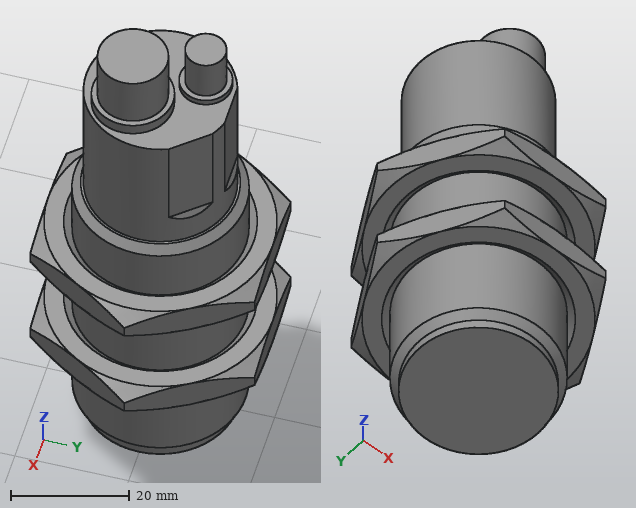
import cadquery as cq
import math

total_height = 92.5
barrel_radius = 15.0
barrel_chamfer = 1.5

nose_radius = barrel_radius - barrel_chamfer
nose_height = 2.0

shoulder_z = 56.0
housing_radius = 13.0
housing_top_z = 80.5
flat_offset = 12.4
flat_bottom_z = 62.3
flat_angles = (90.0, 40.0)
flat_runout_angle = 30.0

gland_x, gland_y = 3.7, -3.8
gland_collar_radius = 7.0
gland_collar_height = 2.1
gland_stub_radius = 6.0
gland_stub_height = total_height - housing_top_z

connector_x, connector_y = -3.3, 7.0
connector_collar_radius = 4.5
connector_collar_height = 1.1
connector_stub_radius = 3.5
connector_stub_height = 9.2

nut_across_flats = 39.4
nut_across_corners = nut_across_flats / math.cos(math.radians(30))
nut_thickness = 5.55
nut_corner_angle = 30.0
nut_countersink = 1.4
lower_nut_z = 20.0
nut_pitch = 20.0
nut_count = 2


def make_barrel():
    """Revolved barrel, nose and upper housing."""
    return (
        cq.Workplane("XZ")
        .moveTo(0, 0)
        .lineTo(nose_radius, 0)
        .lineTo(nose_radius, nose_height)
        .lineTo(barrel_radius, nose_height + barrel_chamfer)
        .lineTo(barrel_radius, shoulder_z - barrel_chamfer)
        .lineTo(barrel_radius - barrel_chamfer, shoulder_z)
        .lineTo(housing_radius, shoulder_z)
        .lineTo(housing_radius, housing_top_z)
        .lineTo(0, housing_top_z)
        .close()
        .revolve(360, (0, 0, 0), (0, 1, 0))
    )


def make_flat_cutter(angle):
    """Block that removes the housing material beyond the flat facing the given angle from +X.

    Its lower end slopes outward, so the flat runs out in a ramp.
    """
    cut_depth = housing_radius - flat_offset
    runout_height = cut_depth / math.tan(math.radians(flat_runout_angle))
    block = (
        cq.Workplane("XZ")
        .moveTo(flat_offset, housing_top_z)
        .lineTo(flat_offset, flat_bottom_z)
        .lineTo(housing_radius, flat_bottom_z - runout_height)
        .lineTo(housing_radius, housing_top_z)
        .close()
        .extrude(housing_radius, both=True)
    )
    return block.rotate((0, 0, 0), (0, 0, 1), angle)


def make_stub(x, y, collar_radius, collar_height, stub_radius, stub_height):
    """Round stub with a collar at its foot, standing on the housing top."""
    foot = cq.Workplane("XY", origin=(x, y, housing_top_z))
    collar = foot.circle(collar_radius).extrude(collar_height)
    stub = foot.circle(stub_radius).extrude(stub_height)
    return collar.union(stub)


def make_sensor():
    """Complete sensor body with its two stubs."""
    gland = make_stub(
        gland_x,
        gland_y,
        gland_collar_radius,
        gland_collar_height,
        gland_stub_radius,
        gland_stub_height,
    )
    connector = make_stub(
        connector_x,
        connector_y,
        connector_collar_radius,
        connector_collar_height,
        connector_stub_radius,
        connector_stub_height,
    )
    body = make_barrel()
    for angle in flat_angles:
        body = body.cut(make_flat_cutter(angle))
    return body.union(gland).union(connector)


def make_nut(bottom_z):
    """Hexagonal nut with coned corners and a bore countersunk at both ends."""
    flat_radius = nut_across_flats / 2
    corner_radius = nut_across_corners / 2
    corner_drop = (corner_radius - flat_radius) * math.tan(math.radians(nut_corner_angle))
    countersunk_radius = barrel_radius + nut_countersink

    hexagon = cq.Workplane("XY").polygon(6, nut_across_corners).extrude(nut_thickness)
    ring = (
        cq.Workplane("XZ")
        .moveTo(countersunk_radius, 0)
        .lineTo(flat_radius, 0)
        .lineTo(corner_radius, corner_drop)
        .lineTo(corner_radius, nut_thickness - corner_drop)
        .lineTo(flat_radius, nut_thickness)
        .lineTo(countersunk_radius, nut_thickness)
        .lineTo(barrel_radius, nut_thickness - nut_countersink)
        .lineTo(barrel_radius, nut_countersink)
        .close()
        .revolve(360, (0, 0, 0), (0, 1, 0))
    )
    return hexagon.intersect(ring).translate((0, 0, bottom_z))


sensor = make_sensor()
nuts = [make_nut(lower_nut_z + i * nut_pitch) for i in range(nut_count)]

result = cq.Compound.makeCompound([sensor.val(), *[nut.val() for nut in nuts]])